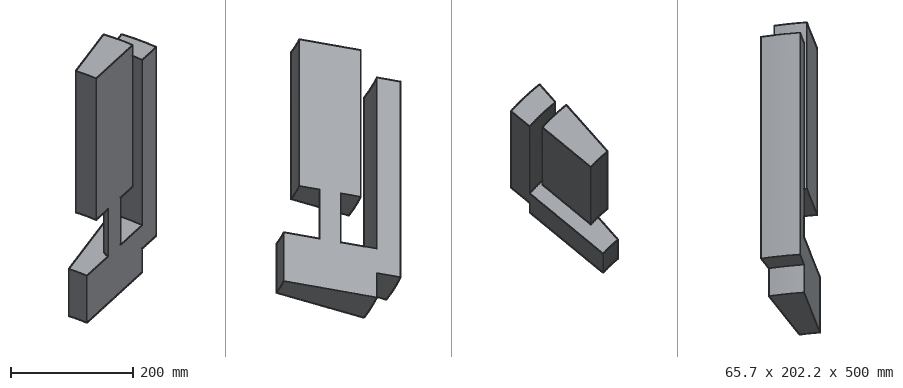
import cadquery as cq
import math

SECTOR_ANGLE = 9.0

WALL_OUTER_RADIUS = 420.0
WALL_INNER_RADIUS = 379.5
BASE_INNER_RADIUS = 220.5
BLOCK_OUTER_RADIUS = 352.0
BLOCK_INNER_RADIUS = 247.0

TOTAL_HEIGHT = 500.0
BASE_HEIGHT = 100.0
WALL_BOTTOM = BASE_HEIGHT / 2
WALL_HEIGHT = 400.0
BLOCK_HEIGHT = 300.0
BLOCK_BOTTOM = TOTAL_HEIGHT - BLOCK_HEIGHT

ROD_RADIUS = 18.0
ROD_CENTER_Y = 300.0


def polar_point(radius, angle):
    """Point at an angle in degrees from +Y toward -X."""
    turn = math.radians(angle)
    return (-radius * math.sin(turn), radius * math.cos(turn))


def ring_sector(inner_radius, outer_radius, bottom, height):
    """Upright slice of a ring spanning the sector angle."""
    middle_angle = SECTOR_ANGLE / 2
    return (
        cq.Workplane("XY", origin=(0, 0, bottom))
        .moveTo(*polar_point(inner_radius, 0))
        .lineTo(*polar_point(outer_radius, 0))
        .threePointArc(polar_point(outer_radius, middle_angle), polar_point(outer_radius, SECTOR_ANGLE))
        .lineTo(*polar_point(inner_radius, SECTOR_ANGLE))
        .threePointArc(polar_point(inner_radius, middle_angle), polar_point(inner_radius, 0))
        .close()
        .extrude(height)
    )


def half_rod(bottom, height):
    """Half cylinder with its flat side on the YZ plane."""
    return (
        cq.Workplane("XY", origin=(0, ROD_CENTER_Y, bottom))
        .moveTo(0, -ROD_RADIUS)
        .threePointArc((-ROD_RADIUS, 0), (0, ROD_RADIUS))
        .close()
        .extrude(height)
    )


base = ring_sector(BASE_INNER_RADIUS, WALL_INNER_RADIUS, 0, BASE_HEIGHT)
wall = ring_sector(WALL_INNER_RADIUS, WALL_OUTER_RADIUS, WALL_BOTTOM, WALL_HEIGHT)
block = ring_sector(BLOCK_INNER_RADIUS, BLOCK_OUTER_RADIUS, BLOCK_BOTTOM, BLOCK_HEIGHT)
rod = half_rod(BASE_HEIGHT, BLOCK_BOTTOM - BASE_HEIGHT)

result = base.union(wall).union(rod).union(block)